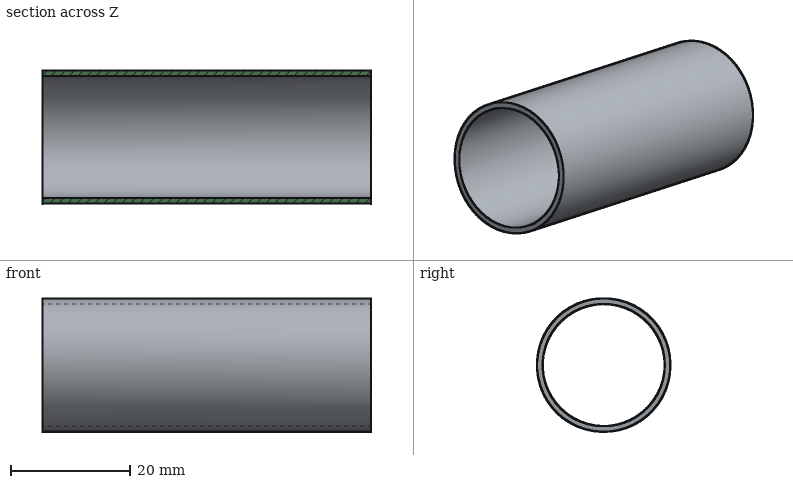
import cadquery as cq

length = 55.0
outer_diameter = 22.4
wall_thickness = 1.0
inner_diameter = outer_diameter - 2 * wall_thickness

result = (
    cq.Workplane("YZ", origin=(-length / 2, 0, 0))
    .circle(outer_diameter / 2)
    .circle(inner_diameter / 2)
    .extrude(length)
)